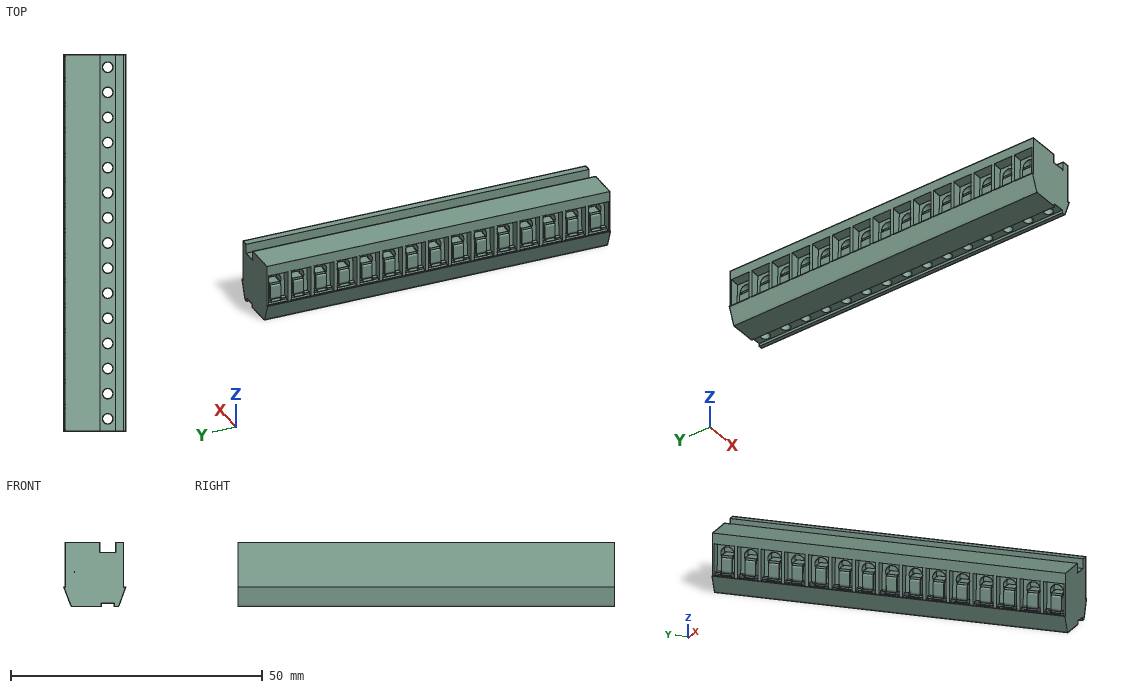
import cadquery as cq
import math

pole_count = 15
length = 75.0
pitch = length / pole_count
width = 12.4
height = 12.8

front_face = 0.3
rear_face = 11.9
lip_height = 3.9
foot_chamfer = 0.4
foot_front = 1.6
foot_rear = 10.9
foot_chamfer_run = 0.2
top_groove_width = 3.15
top_groove_depth = 2.0
groove_center = 8.8
bottom_groove_width = 2.55
bottom_groove_depth = 0.7
screw_hole_diameter = 2.0

window_width = 4.3
window_top = 10.6
window_floor = 4.05
ceiling_drop = 0.15
step_height = 0.4
step_setback = 0.8
window_depth = 1.7
back_wall_lean = 3.0

wire_hole_radius = 1.4
wire_hole_center = 8.2
wire_hole_sill = 7.5
wire_hole_depth = 2.25

clamp_width = 2.25
clamp_proud = 0.4
clamp_top = 7.9
shoulder_top = 7.4
shoulder_radius = 0.45
shoulder_run = 0.3
toe_radius = 0.75
clamp_bottom = 4.0

back_wall = front_face + window_depth
clamp_face = back_wall - clamp_proud
step_front = front_face + step_setback
hole_end = back_wall + wire_hole_depth
shoulder_rise = math.sqrt(shoulder_radius**2 - (shoulder_radius - shoulder_run) ** 2)


def pole_positions():
    return [(i + 0.5) * pitch - length / 2 for i in range(pole_count)]


def along_y(sketch, depth):
    """Extrude an XZ outline symmetrically about Y = 0."""
    return sketch.extrude(depth / 2, both=True)


def make_housing():
    outline = [
        (front_face, height),
        (front_face, lip_height),
        (0, lip_height),
        (foot_front - foot_chamfer_run, foot_chamfer),
        (foot_front, 0),
        (foot_rear, 0),
        (foot_rear + foot_chamfer_run, foot_chamfer),
        (width, lip_height),
        (rear_face, lip_height),
        (rear_face, height),
    ]
    body = along_y(cq.Workplane("XZ").polyline(outline).close(), length)
    top_groove = cq.Workplane().box(top_groove_width, length, 2 * top_groove_depth)
    bottom_groove = cq.Workplane().box(bottom_groove_width, length, 2 * bottom_groove_depth)
    body = body.cut(top_groove.translate((groove_center, 0, height)))
    return body.cut(bottom_groove.translate((groove_center, 0, 0)))


def make_screw_hole():
    return cq.Workplane().circle(screw_hole_diameter / 2).extrude(height).translate((groove_center, 0, 0))


def make_window():
    step_top = window_floor + step_height
    ceiling_back = window_top - ceiling_drop
    lean = (ceiling_back - step_top) * math.tan(math.radians(back_wall_lean))
    outline = [
        (front_face, window_floor),
        (step_front, window_floor),
        (step_front, step_top),
        (back_wall, step_top),
        (back_wall + lean, ceiling_back),
        (front_face, window_top),
    ]
    return along_y(cq.Workplane("XZ").polyline(outline).close(), window_width)


def make_wire_hole():
    """Round hole with a flat sill, joined to a slot that holds the clamp plate."""
    hole_length = hole_end - step_front
    round_hole = cq.Workplane("YZ").center(0, wire_hole_center).circle(wire_hole_radius).extrude(hole_length)
    above_sill = cq.Workplane().box(
        hole_length, 2 * wire_hole_radius, 2 * wire_hole_radius, centered=(False, True, False)
    )
    slot = cq.Workplane().box(
        hole_length, clamp_width, wire_hole_sill - clamp_bottom, centered=(False, True, False)
    )
    hole = round_hole.intersect(above_sill.translate((0, 0, wire_hole_sill)))
    hole = hole.union(slot.translate((0, 0, clamp_bottom)))
    return hole.translate((step_front, 0, 0))


def make_clamp():
    """Plate with a rounded shoulder in front of its top and a rounded toe."""
    profile = (
        cq.Workplane("XZ")
        .moveTo(hole_end, clamp_top)
        .lineTo(clamp_face + shoulder_run, clamp_top)
        .lineTo(clamp_face + shoulder_run, shoulder_top)
        .radiusArc((clamp_face, shoulder_top - shoulder_rise), -shoulder_radius)
        .lineTo(clamp_face, clamp_bottom + toe_radius)
        .radiusArc((clamp_face + toe_radius, clamp_bottom), -toe_radius)
        .lineTo(hole_end, clamp_bottom)
        .close()
    )
    return along_y(profile, clamp_width)


def at_each_pole(feature):
    solid = feature.val()
    copies = [solid.translate(cq.Vector(0, y, 0)) for y in pole_positions()]
    return cq.Workplane(cq.Compound.makeCompound(copies))


result = (
    make_housing()
    .cut(at_each_pole(make_screw_hole()))
    .cut(at_each_pole(make_window().union(make_wire_hole())))
    .union(at_each_pole(make_clamp()))
    .translate((-width / 2, 0, 0))
)